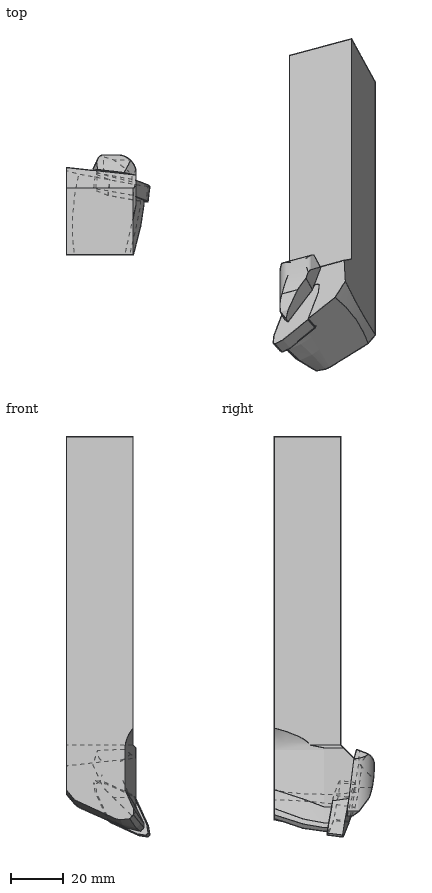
import cadquery as cq
import math

SHANK_SIZE = 25.4
TOTAL_LENGTH = 152.4
NECK_Z = 33.0

HEAD_DEPTH = 36.0
PAD_X = 26.4
RELIEF_X = 22.2
RELIEF_DEPTH = 19.0
RELIEF_RADIUS = 12.9
KNEE_DEPTH = 11.0
RAMP_Z = 35.0
PAD_STRAIGHT = 1.0

LOWER_EDGE_SLOPE = 0.46
LOWER_EDGE_END = (18.6, 7.0, 4.5)

HEEL_ARCH = [(0, 17.8), (18.0, 16.2), (HEAD_DEPTH, 17.6)]
HEEL_SLOPE = 1.2
HEEL_LEAD = 1.0
HEEL_SWEEP = 10.0
HEEL_DROP = 15.0

DECK_Y = 29.9
DECK_SLOPE = 0.125

INSERT_THICKNESS = 6.0
INSCRIBED_CIRCLE = 12.7
HALF_ANGLE = math.radians(20.25)
TIP_X = 31.78
TIP_CUTBACK = 2.6
SHARP_X = TIP_X + TIP_CUTBACK
SHARP_Z = -TIP_CUTBACK
NOSE_FLAT = 1.14
NOSE_EDGE = 7.5

CLAMP_LEFT = 10.0
CLAMP_RIGHT = 26.5
CLAMP_TAIL_Z = 33.4
CLAMP_TOE_Z = 8.0
CLAMP_CROWN_LEFT = 14.6
CLAMP_CROWN_RIGHT = 20.0
CLAMP_CROWN_TOP = 28.4
CLAMP_CROWN_BOTTOM = 26.3
TOTAL_DEPTH = 38.09

MARGIN = 60.0


def deck_point(x, z):
    return cq.Vector(x, DECK_Y - DECK_SLOPE * x + DECK_SLOPE * z, z)


DECK_NORMAL = cq.Vector(DECK_SLOPE, 1, -DECK_SLOPE).normalized()
DECK_PLANE = cq.Plane(
    origin=deck_point(0, 0).toTuple(),
    xDir=(1, -DECK_SLOPE, 0),
    normal=DECK_NORMAL.toTuple(),
)


def front_prism(points, y_start, y_end):
    """Prism along Y with an outline given as (x, z)."""
    plane = cq.Plane(origin=(0, y_start, 0), xDir=(1, 0, 0), normal=(0, -1, 0))
    return cq.Workplane(plane).polyline(points).close().extrude(y_start - y_end)


def side_prism(points):
    """Prism along X, longer than the part, with an outline given as (y, z)."""
    return cq.Workplane("YZ", origin=(-MARGIN, 0, 0)).polyline(points).close().extrude(2 * MARGIN)


def space_behind_deck():
    return cq.Workplane(DECK_PLANE).rect(4 * MARGIN, 4 * MARGIN).extrude(MARGIN)


def shank():
    """Square bar with the stock for the ramp, the stepped top of the pad and the upper end of the relief."""
    straight_z = NECK_Z + PAD_STRAIGHT
    outline = [
        (0, NECK_Z),
        (PAD_X, NECK_Z),
        (PAD_X, straight_z),
        (SHANK_SIZE, straight_z + PAD_X - SHANK_SIZE),
        (SHANK_SIZE, TOTAL_LENGTH),
        (0, TOTAL_LENGTH),
    ]
    relief_center = cq.Vector(RELIEF_X + RELIEF_RADIUS, 0, NECK_Z)
    relief_circle = cq.Wire.makeCircle(RELIEF_RADIUS, relief_center, cq.Vector(0, 1, 0))
    relief_run = cq.Vector(PAD_X - RELIEF_X, RELIEF_DEPTH, 0)
    relief = cq.Solid.extrudeLinear(relief_circle, [], relief_run)
    return front_prism(outline, 0, HEAD_DEPTH).cut(cq.Workplane(relief))


def head_section(y, nose, neck_x):
    """Closed section of the head at depth y; the nose points run along the lower end to the right."""
    end_x, front_z, back_z = LOWER_EDGE_END
    rise = LOWER_EDGE_SLOPE * end_x
    end_z = front_z + (back_z - front_z) * y / HEAD_DEPTH
    outline = [(0, NECK_Z), (0, end_z + rise), (end_x, end_z), *nose, (neck_x, NECK_Z)]
    points = [cq.Vector(x, y, z) for x, z in outline]
    return cq.Wire.makePolygon(points, close=True)


def head():
    """Tapered head: each section grows toward the back, giving clearance below the cutting edges."""
    knee_x = RELIEF_X + (PAD_X - RELIEF_X) * KNEE_DEPTH / RELIEF_DEPTH
    front_nose = [(20.4, 6.6), (24.05, 7.0), (25.5, 8.5), (25.5, 10.9), (RELIEF_X, 18.1)]
    knee_nose = [(21.5, 4.6), (26.6, 3.3), (28.3, 5.0), (28.2, 6.9), (knee_x, 14.5)]
    seat_nose = [(23.0, 3.4), (28.2, 2.2), (29.5, 3.6), (29.4, 5.4), (PAD_X, 11.5)]
    sections = [
        head_section(0, front_nose, RELIEF_X),
        head_section(KNEE_DEPTH, knee_nose, knee_x),
        head_section(RELIEF_DEPTH, seat_nose, PAD_X),
        head_section(HEAD_DEPTH, seat_nose, PAD_X),
    ]
    return cq.Workplane(cq.Solid.makeLoft(sections, True))


def heel_cutter():
    """Stock below the bevel on the heel: an arched profile swept along the slope of the bevel."""
    lead_rise = HEEL_LEAD * HEEL_SLOPE
    start, low, end = [cq.Vector(-HEEL_LEAD, y, z + lead_rise) for y, z in HEEL_ARCH]
    drop = cq.Vector(0, 0, -HEEL_DROP)
    profile = cq.Wire.assembleEdges([
        cq.Edge.makeThreePointArc(start, low, end),
        cq.Edge.makeLine(end, end + drop),
        cq.Edge.makeLine(end + drop, start + drop),
        cq.Edge.makeLine(start + drop, start),
    ])
    sweep = cq.Vector(1, 0, -HEEL_SLOPE) * HEEL_SWEEP
    return cq.Workplane(cq.Solid.extrudeLinear(profile, [], sweep))


def side_trim():
    """Side outline of the holder: straight back, then a 45 degree ramp out to the head."""
    ramp_run = HEAD_DEPTH - SHANK_SIZE
    return side_prism([
        (0, TOTAL_LENGTH),
        (SHANK_SIZE, TOTAL_LENGTH),
        (SHANK_SIZE, RAMP_Z),
        (HEAD_DEPTH, RAMP_Z - ramp_run),
        (HEAD_DEPTH, -MARGIN),
        (0, -MARGIN),
    ])


def clamp():
    """Clamp standing on the deck, shaped by its outlines along the three axes."""
    plan = front_prism([
        (14.0, 18.8),
        (CLAMP_LEFT, 27.6),
        (12.0, CLAMP_TAIL_Z),
        (22.0, CLAMP_TAIL_Z),
        (CLAMP_RIGHT, 30.0),
        (CLAMP_RIGHT, 10.0),
        (25.0, CLAMP_TOE_Z),
    ], 0, TOTAL_DEPTH)
    side = (
        cq.Workplane("YZ", origin=(-MARGIN, 0, 0))
        .moveTo(0, CLAMP_TAIL_Z)
        .lineTo(31.4, CLAMP_TAIL_Z)
        .lineTo(34.4, 32.2)
        .threePointArc((36.7, 30.9), (TOTAL_DEPTH, CLAMP_CROWN_TOP))
        .lineTo(TOTAL_DEPTH, CLAMP_CROWN_BOTTOM)
        .threePointArc((37.6, 20.4), (36.2, 15.0))
        .lineTo(32.2, 9.7)
        .lineTo(29.8, CLAMP_TOE_Z)
        .lineTo(0, CLAMP_TOE_Z)
        .close()
        .extrude(2 * MARGIN)
    )
    end = (
        cq.Workplane("XY")
        .moveTo(CLAMP_LEFT, 0)
        .lineTo(CLAMP_LEFT, 32.6)
        .lineTo(11.8, 36.3)
        .threePointArc((12.7, 37.6), (CLAMP_CROWN_LEFT, TOTAL_DEPTH))
        .lineTo(CLAMP_CROWN_RIGHT, TOTAL_DEPTH)
        .threePointArc((24.4, 36.0), (CLAMP_RIGHT, 32.0))
        .lineTo(CLAMP_RIGHT, 0)
        .close()
        .extrude(MARGIN)
    )
    return plan.intersect(side).intersect(end).intersect(space_behind_deck())


def insert_solid():
    """Plate with its top on the deck plane; both sharp ends carry two facets and a narrow flat."""
    edge = INSCRIBED_CIRCLE / math.sin(2 * HALF_ANGLE)
    center = edge * math.cos(HALF_ANGLE)
    half_flat = NOSE_FLAT / 2
    nose = (half_flat + TIP_CUTBACK * math.sqrt(2), half_flat)
    facet = (NOSE_EDGE * math.cos(HALF_ANGLE), NOSE_EDGE * math.sin(HALF_ANGLE))
    middle = (center, edge * math.sin(HALF_ANGLE))
    far_corners = [(2 * center - along, across) for along, across in (facet, nose)]
    half = [nose, facet, middle, *far_corners]
    ring = half + [(along, -across) for along, across in reversed(half)]
    diagonal = math.sqrt(0.5)
    points = [
        deck_point(SHARP_X - (along + across) * diagonal, SHARP_Z + (along - across) * diagonal)
        for along, across in ring
    ]
    outline = cq.Wire.makePolygon(points, close=True)
    return cq.Workplane(cq.Solid.extrudeLinear(outline, [], DECK_NORMAL * -INSERT_THICKNESS))


insert = insert_solid()
holder = shank().union(head()).cut(heel_cutter()).intersect(side_trim())
holder = holder.cut(space_behind_deck()).cut(insert).union(clamp())
result = cq.Compound.makeCompound([holder.solids().val(), insert.val()])